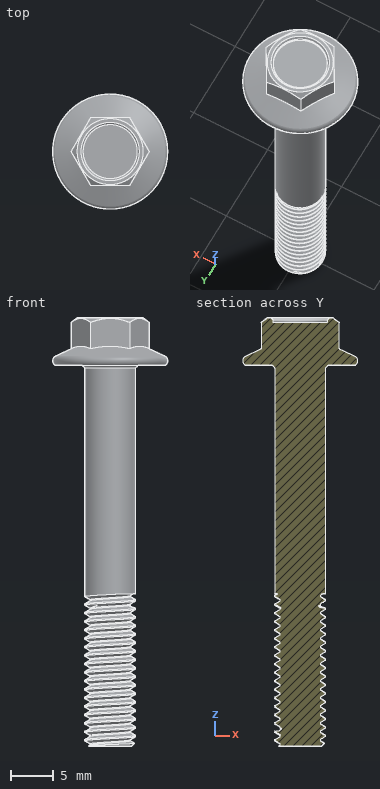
import cadquery as cq
import math

total_length = 50.65
head_height = 5.6
bearing_z = total_length - head_height

shank_radius = 6.0 / 2
neck_radius = 3.35
neck_height = 0.3

flange_radius = 13.6 / 2
flange_edge_height = 1.05
flange_face_radius = 6.55
flange_slope = math.radians(25)

across_flats = 8.0
across_corners = across_flats / math.cos(math.radians(30))
hex_top_radius = 3.9
hex_chamfer_angle = math.radians(38)

recess_top_radius = 3.45
recess_radius = 6.4 / 2
recess_rim_chamfer_depth = 0.25
recess_depth = 0.55

thread_length = 18.0
thread_pitch_count = 18
pitch = thread_length / thread_pitch_count
thread_depth = 0.6
groove_width = 0.85
root_width = 0.125
tip_chamfer = 0.5
groove_start_z = -1.25
groove_turns = 19.5
cutter_overlap = 0.05


def make_flange():
    """Round-edged cone, running inward until it is buried in the hexagon, with a flared neck."""
    edge_top_z = bearing_z + flange_edge_height
    inner_radius = across_flats / 4
    cone_top_z = edge_top_z + (flange_face_radius - inner_radius) * math.tan(flange_slope)
    return (
        cq.Workplane("XZ")
        .moveTo(0, bearing_z - neck_height)
        .lineTo(shank_radius, bearing_z - neck_height)
        .lineTo(neck_radius, bearing_z)
        .lineTo(flange_face_radius, bearing_z)
        .threePointArc(
            (flange_radius, bearing_z + flange_edge_height / 2), (flange_face_radius, edge_top_z)
        )
        .lineTo(inner_radius, cone_top_z)
        .lineTo(0, cone_top_z)
        .close()
        .revolve(360, (0, 0), (0, 1))
    )


def make_hexagon():
    """Hexagonal prism with its top corners turned off by a cone and a recessed top."""
    prism = (
        cq.Workplane("XY")
        .workplane(offset=bearing_z)
        .polygon(6, across_corners)
        .extrude(head_height)
    )
    cone_drop = (across_corners - hex_top_radius) * math.tan(hex_chamfer_angle)
    envelope = (
        cq.Workplane("XZ")
        .moveTo(0, bearing_z)
        .lineTo(across_corners, bearing_z)
        .lineTo(across_corners, total_length - cone_drop)
        .lineTo(hex_top_radius, total_length)
        .lineTo(0, total_length)
        .close()
        .revolve(360, (0, 0), (0, 1))
    )
    recess = (
        cq.Workplane("XZ")
        .moveTo(0, total_length - recess_depth)
        .lineTo(recess_radius, total_length - recess_depth)
        .lineTo(recess_radius, total_length - recess_rim_chamfer_depth)
        .lineTo(recess_top_radius, total_length)
        .lineTo(0, total_length)
        .close()
        .revolve(360, (0, 0), (0, 1))
    )
    return prism.intersect(envelope).cut(recess)


def make_threaded_shank():
    """Rod grooved past its lower end, then trimmed to a chamfered tip."""
    shank_top_z = bearing_z - neck_height
    rod = (
        cq.Workplane("XY")
        .workplane(offset=2 * groove_start_z)
        .circle(shank_radius)
        .extrude(shank_top_z - 2 * groove_start_z)
    )
    trim_radius = 2 * shank_radius
    tip_radius = shank_radius - tip_chamfer
    below_tip = (
        cq.Workplane("XZ")
        .moveTo(0, 3 * groove_start_z)
        .lineTo(trim_radius, 3 * groove_start_z)
        .lineTo(trim_radius, trim_radius - tip_radius)
        .lineTo(tip_radius, 0)
        .lineTo(0, 0)
        .close()
        .revolve(360, (0, 0), (0, 1))
    )
    return rod.cut(make_thread_groove()).cut(below_tip)


def make_thread_groove():
    """Helical V groove, stopped flat at the end of the threaded length."""
    root_radius = shank_radius - thread_depth
    outer_radius = shank_radius + cutter_overlap
    flank_run = (groove_width - root_width) / 2 / thread_depth
    outer_half_width = groove_width / 2 + cutter_overlap * flank_run
    path = cq.Wire.makeHelix(
        pitch, pitch * groove_turns, shank_radius, center=cq.Vector(0, 0, groove_start_z)
    )
    groove = (
        cq.Workplane("XZ")
        .moveTo(root_radius, groove_start_z - root_width / 2)
        .lineTo(outer_radius, groove_start_z - outer_half_width)
        .lineTo(outer_radius, groove_start_z + outer_half_width)
        .lineTo(root_radius, groove_start_z + root_width / 2)
        .close()
        .sweep(cq.Workplane(obj=path), isFrenet=True)
    )
    above_thread = (
        cq.Workplane("XY")
        .workplane(offset=thread_length)
        .circle(2 * shank_radius)
        .extrude(2 * pitch)
    )
    return groove.cut(above_thread)


result = make_threaded_shank().union(make_flange()).union(make_hexagon())